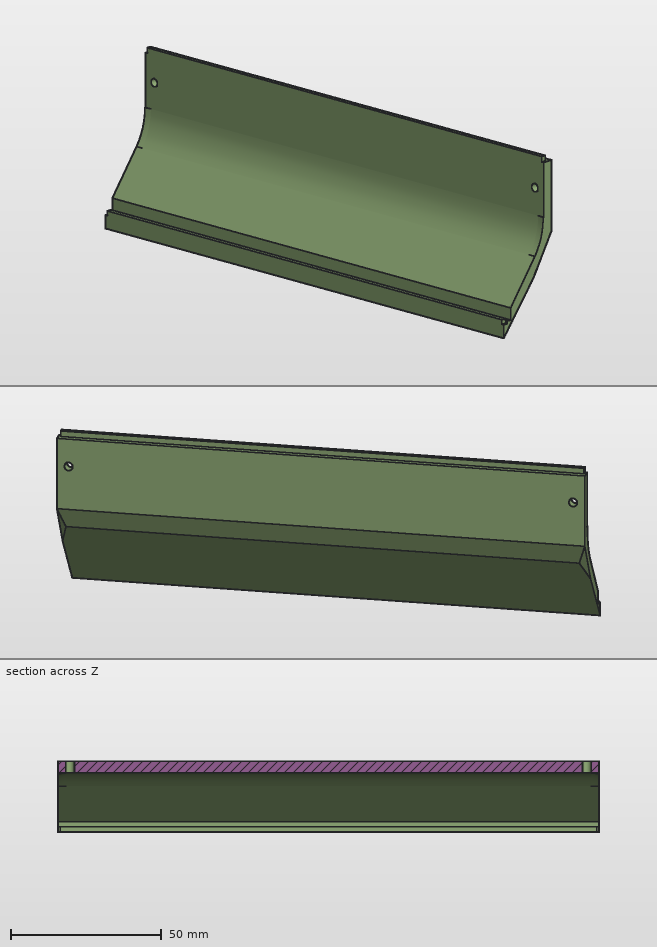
import cadquery as cq
import math

length = 179.4
depth = 23.5
height = 58.49

plate_thickness = 3.9
plate_front_height = 20.9
plate_back_height = 26.5

slope_angle = 38.0
bend_radius = 20.5

facet_width = 2.75
facet_height = 7.0

lip_height = 6.3
lip_thickness = 1.8
step_face_inset = 3.4
groove_floor_height = 5.6

rabbet_depth = 1.9
rabbet_width = 2.2

ridge_end_inset = 0.8
lip_end_drop = 1.6

bend_end_width = 2.5
pad_rise = 0.45
bevel_length = 9.5

hole_diameter = 2.8
hole_end_distance = 4.0
hole_top_distance = 11.5

half_length = length / 2
y_back = depth / 2
y_front = -depth / 2
z_top = height / 2
z_bottom = -height / 2
y_plate_front = y_back - plate_thickness
slope = math.radians(slope_angle)
y_bend_axis = y_plate_front - bend_radius
z_bend = z_top - plate_front_height
z_facet_top = z_top - plate_back_height
y_facet_low = y_back - facet_width
z_facet_low = z_facet_top - facet_height


def bend_point(angle, radius):
    """Point (y, z) around the bend axis, measured downward from the plate."""
    return (y_bend_axis + radius * math.cos(angle), z_bend - radius * math.sin(angle))


def make_body():
    """Profile of the plate, bend, apron and lip, extruded along X."""
    bend_end = bend_point(slope, bend_radius)
    y_step = y_front + step_face_inset
    z_step = bend_end[1] - (bend_end[0] - y_step) / math.tan(slope)
    y_rabbet = y_back - rabbet_width
    y_groove = y_front + lip_thickness
    z_groove = z_bottom + groove_floor_height
    return (
        cq.Workplane("YZ", origin=(-half_length, 0, 0))
        .moveTo(y_back, z_top - rabbet_depth)
        .lineTo(y_rabbet, z_top - rabbet_depth)
        .lineTo(y_rabbet, z_top)
        .lineTo(y_plate_front, z_top)
        .lineTo(y_plate_front, z_bend)
        .threePointArc(bend_point(slope / 2, bend_radius), bend_end)
        .lineTo(y_step, z_step)
        .lineTo(y_step, z_groove)
        .lineTo(y_groove, z_groove)
        .lineTo(y_groove, z_bottom + lip_height)
        .lineTo(y_front, z_bottom + lip_height)
        .lineTo(y_front, z_bottom)
        .lineTo(y_facet_low, z_facet_low)
        .lineTo(y_back, z_facet_top)
        .close()
        .extrude(length)
    )


def make_ridge_trims(side):
    """Blocks that stop the top ridge and the lip short of one end."""
    top_trim = cq.Workplane("XY").box(2 * ridge_end_inset, depth, 2 * rabbet_depth)
    lip_trim = cq.Workplane("XY").box(2 * ridge_end_inset, 2 * lip_thickness, 2 * lip_end_drop)
    x_end = side * half_length
    top_trim = top_trim.translate((x_end, 0, z_top))
    return top_trim.union(lip_trim.translate((x_end, y_front, z_bottom + lip_height)))


def make_hole(side):
    """Through hole in the plate near one end."""
    x_hole = side * (half_length - hole_end_distance)
    z_hole = z_top - hole_top_distance
    return cq.Workplane("XZ", origin=(x_hole, y_back, z_hole)).circle(hole_diameter / 2).extrude(depth)


def make_bend_pad(side):
    """Thin pad in the bend, rising from nothing to pad_rise at one end."""
    outer = bend_radius + plate_thickness / 4
    inner = bend_radius - plate_thickness / 4
    sector = (
        cq.Workplane("YZ", origin=(side * half_length, 0, 0))
        .moveTo(*bend_point(0, inner))
        .lineTo(*bend_point(0, outer))
        .threePointArc(bend_point(slope / 2, outer), bend_point(slope, outer))
        .lineTo(*bend_point(slope, inner))
        .threePointArc(bend_point(slope / 2, inner), bend_point(0, inner))
        .close()
        .extrude(-side * bend_end_width)
    )
    y_shift = -pad_rise * math.sin(slope)
    z_shift = -pad_rise * math.cos(slope)
    hollow = (
        cq.Workplane("YZ", origin=(side * half_length, 0, 0))
        .center(y_bend_axis + y_shift, z_bend + z_shift)
        .circle(bend_radius)
        .workplane(offset=-side * bend_end_width)
        .center(-y_shift, -z_shift)
        .circle(bend_radius)
        .loft(ruled=True)
    )
    return sector.cut(hollow)


def make_back_bevel(side):
    """Tetrahedral cut that bevels the back corner of the bend at one end."""
    apron_length = math.hypot(y_facet_low - y_front, z_facet_low - z_bottom)
    bevel_fraction = bevel_length / apron_length
    x_end = side * half_length
    upper = cq.Vector(x_end, y_back, z_facet_top)
    corner = cq.Vector(x_end, y_facet_low, z_facet_low)
    lower = corner + (cq.Vector(x_end, y_front, z_bottom) - corner) * bevel_fraction
    inward = corner - cq.Vector(side * bend_end_width, 0, 0)
    triangles = (
        (upper, corner, lower),
        (upper, lower, inward),
        (upper, inward, corner),
        (corner, inward, lower),
    )
    faces = [cq.Face.makeFromWires(cq.Wire.makePolygon(t, close=True)) for t in triangles]
    return cq.Workplane(cq.Solid.makeSolid(cq.Shell.makeShell(faces)))


result = make_body()
for side in (-1, 1):
    result = result.union(make_bend_pad(side))
    result = result.cut(make_ridge_trims(side))
    result = result.cut(make_hole(side))
    result = result.cut(make_back_bevel(side))